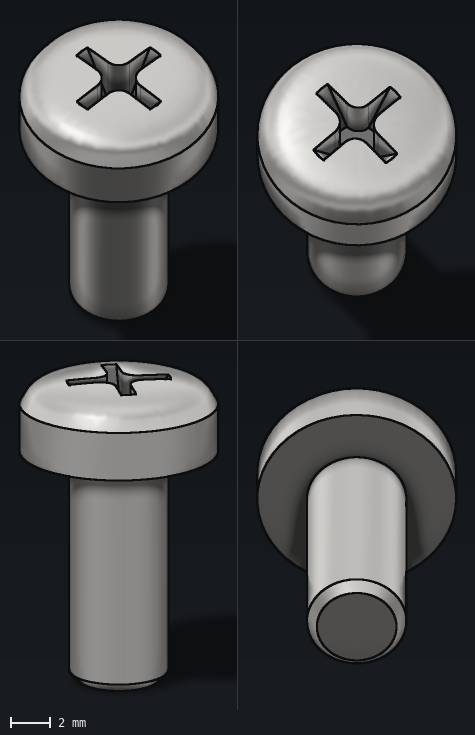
import cadquery as cq
import math


shank_diameter = 5.0
shank_length = 12.0
tip_chamfer = 0.5

head_diameter = 10.0
head_height = 3.8
rim_height = 2.5

crown_flat_radius = 4.05
shoulder_radius = 4.43
shoulder_height = 3.67

wing_span = 5.25
wing_width = 0.76
corner_radius = 0.77
recess_depth = 2.8
recess_floor_radius = 1.2

head_radius = head_diameter / 2
recess_floor_z = head_height - recess_depth


def make_shank():
    shank = cq.Workplane("XY").circle(shank_diameter / 2).extrude(-shank_length)
    return shank.faces("<Z").chamfer(tip_chamfer)


def make_head():
    """Revolve the half section; the crown is level at the axis and meets the rim at a visible edge."""
    crown_curve = [
        (head_radius, rim_height),
        (shoulder_radius, shoulder_height),
        (crown_flat_radius, head_height),
        (0, head_height),
    ]
    half_section = (
        cq.Workplane("XZ")
        .lineTo(head_radius, 0)
        .lineTo(head_radius, rim_height)
        .bezier(crown_curve)
        .close()
    )
    return half_section.revolve(360, (0, 0, 0), (0, 1, 0))


def make_recess():
    """Cross prism with rounded inner corners, limited by a cone narrowing to the recess floor."""
    floor_plane = cq.Workplane("XY").workplane(offset=recess_floor_z)
    wing_along_x = floor_plane.rect(wing_span, wing_width).extrude(recess_depth)
    wing_along_y = floor_plane.rect(wing_width, wing_span).extrude(recess_depth)
    cross = wing_along_x.union(wing_along_y)

    corner_reach = wing_width
    inner_corners = cq.selectors.BoxSelector(
        (-corner_reach, -corner_reach, recess_floor_z),
        (corner_reach, corner_reach, head_height),
    )
    cross = cross.edges("|Z").edges(inner_corners).fillet(corner_radius)

    wing_tip_radius = math.hypot(wing_span, wing_width) / 2
    cone = cq.Workplane("XY").add(
        cq.Solid.makeCone(
            recess_floor_radius,
            wing_tip_radius,
            recess_depth,
            pnt=cq.Vector(0, 0, recess_floor_z),
        )
    )
    return cross.intersect(cone)


result = make_head().union(make_shank()).cut(make_recess())